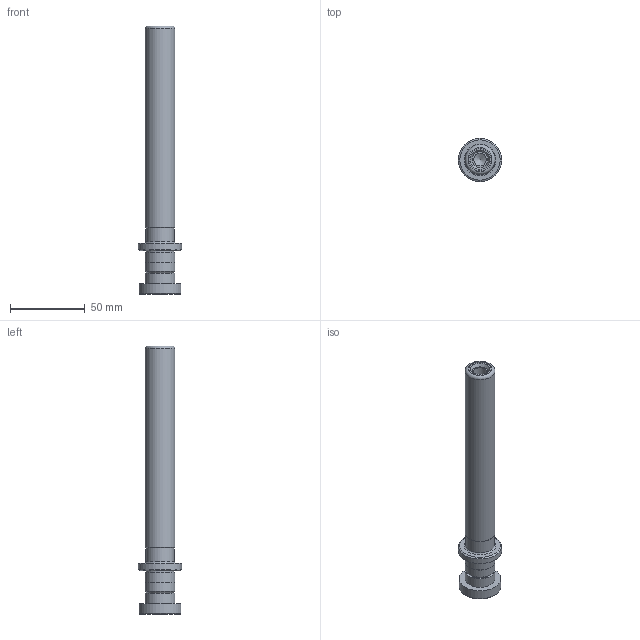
import cadquery as cq
import math

total_height = 179.0
flange_height = 7.0
retainer_height = 14.0
lead_in_top = 21.2
collar_bottom = 29.0
collar_top = 34.0
shaft_bottom = 44.6

shaft_radius = 10.0
lead_in_radius = 9.95
neck_radius = 9.5
collar_radius = 14.5
flange_radius = 14.0
spigot_radius = 9.9

shaft_end_fillet = 2.0
shaft_step_chamfer = 0.5
foot_chamfer_radial = 1.0
foot_chamfer_height = 1.3
collar_chamfer_height = 0.6
collar_chamfer_width = collar_chamfer_height / math.tan(math.radians(30))
collar_root_fillet = 1.0
undercut_height = 1.0
flange_chamfer = 0.5

bore_radius = 8.5 / 2
cone_floor_radius = 10.5 / 2
cone_radius = 13.0 / 2
recess_radius = 14.8 / 2
recess_depth = 0.3
bore_depth = 30.0
cone_half_angle = math.radians(30)
drill_half_angle = math.radians(60)


def revolve(outline):
    """Turn a closed radius/height outline around the Z axis."""
    return outline.close().revolve(360, (0, 0), (0, 1))


def make_retainer():
    """Flanged disc whose spigot carries the pillar."""
    outline = (
        cq.Workplane("XZ")
        .lineTo(flange_radius - flange_chamfer, 0)
        .lineTo(flange_radius, flange_chamfer)
        .lineTo(flange_radius, flange_height)
        .lineTo(spigot_radius, flange_height)
        .lineTo(spigot_radius, retainer_height)
        .lineTo(0, retainer_height)
    )
    return revolve(outline)


def make_centre_hole():
    """Cutter for the centre hole: shallow recess, cone, flat step and drilled bore."""
    cone_top = total_height - recess_depth
    cone_bottom = cone_top - (cone_radius - cone_floor_radius) / math.tan(cone_half_angle)
    bore_floor = total_height - bore_depth
    drill_tip = bore_floor - bore_radius / math.tan(drill_half_angle)
    outline = (
        cq.Workplane("XZ")
        .moveTo(0, drill_tip)
        .lineTo(bore_radius, bore_floor)
        .lineTo(bore_radius, cone_bottom)
        .lineTo(cone_floor_radius, cone_bottom)
        .lineTo(cone_radius, cone_top)
        .lineTo(recess_radius, cone_top)
        .lineTo(recess_radius, total_height)
        .lineTo(0, total_height)
    )
    return revolve(outline)


def make_pillar():
    """Guide pillar with a collar, a relieved neck and a press-fit foot."""
    collar_face_radius = collar_radius - collar_chamfer_width
    fillet_start = total_height - shaft_end_fillet
    fillet_middle = shaft_end_fillet * math.sqrt(0.5)
    fillet_centre_radius = shaft_radius - shaft_end_fillet
    undercut_bottom = collar_bottom - undercut_height
    outline = (
        cq.Workplane("XZ")
        .moveTo(0, retainer_height)
        .lineTo(lead_in_radius - foot_chamfer_radial, retainer_height)
        .lineTo(lead_in_radius, retainer_height + foot_chamfer_height)
        .lineTo(lead_in_radius, lead_in_top)
        .lineTo(shaft_radius, lead_in_top)
        .lineTo(shaft_radius, undercut_bottom)
        .lineTo(neck_radius, undercut_bottom)
        .lineTo(neck_radius, collar_bottom)
        .lineTo(collar_face_radius, collar_bottom)
        .lineTo(collar_radius, collar_bottom + collar_chamfer_height)
        .lineTo(collar_radius, collar_top - collar_chamfer_height)
        .lineTo(collar_face_radius, collar_top)
        .lineTo(neck_radius + collar_root_fillet, collar_top)
        .radiusArc((neck_radius, collar_top + collar_root_fillet), collar_root_fillet)
        .lineTo(neck_radius, shaft_bottom - shaft_step_chamfer)
        .lineTo(shaft_radius, shaft_bottom)
        .lineTo(shaft_radius, fillet_start)
        .threePointArc(
            (fillet_centre_radius + fillet_middle, fillet_start + fillet_middle),
            (fillet_centre_radius, total_height),
        )
        .lineTo(0, total_height)
    )
    return revolve(outline).cut(make_centre_hole())


retainer = make_retainer()
pillar = make_pillar()

result = cq.Compound.makeCompound([retainer.val(), pillar.val()])